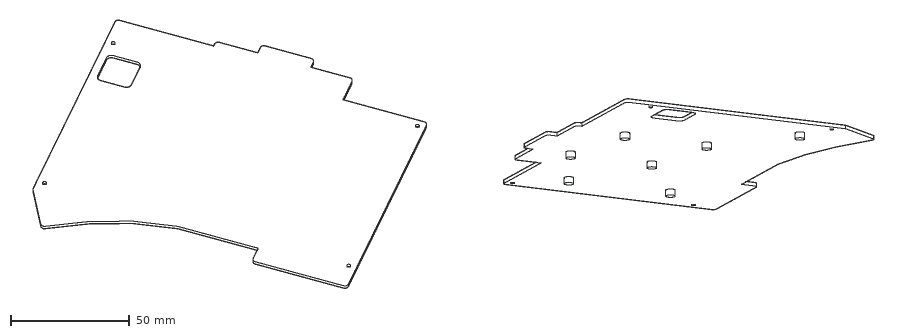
import cadquery as cq
import math

WIDTH = 143.7
DEPTH = 128.3
PLATE_THICKNESS = 1.6
CORNER_RADIUS = 1.6

LEFT_TOP = 120.8
SHOULDER_LEFT = 43.8
SHOULDER_RIGHT = 105.6
SHOULDER_TOP = 123.5
TAB_LEFT = 62.6
TAB_RIGHT = 86.5
RIGHT_TOP = 110.9

LOBE_LEFT = 100.8
LOBE_BOTTOM = 11.8
FRONT_Y = 19.4
FAN_BENDS = ((64.8, FRONT_Y), (46.0, 15.7), (29.0, 9.3))
FAN_END_ANGLE = math.radians(28.4)
LEFT_FLANK_ANGLE = math.radians(60.4)

SCREW_DIAMETER = 1.6
SCREW_INSET = 3.5
SCREW_Y = (23.3, 107.7)

WINDOW_SIZE = 15.1
WINDOW_CENTER = (11.2, 93.5)
WINDOW_RADIUS = 2.2

POST_DIAMETER = 4.0
POST_HEIGHT = 2.6
POST_CENTERS = (
    (14.5, 32.9),
    (46.3, 61.5),
    (46.3, 99.5),
    (84.0, 69.2),
    (84.0, 107.2),
    (122.3, 42.5),
    (122.3, 90.0),
)


def tip_point():
    """Sharp corner of the thumb fan, placed so that its rounding just touches Y = 0."""
    half_corner = (math.pi - FAN_END_ANGLE - LEFT_FLANK_ANGLE) / 2
    bisector = FAN_END_ANGLE + half_corner
    y = CORNER_RADIUS * (1 - math.sin(bisector) / math.sin(half_corner))
    bend_x, bend_y = FAN_BENDS[-1]
    x = bend_x - (bend_y - y) / math.tan(FAN_END_ANGLE)
    return x, y


def make_plate():
    tip = tip_point()
    flank_top = (0, tip[1] + tip[0] * math.tan(LEFT_FLANK_ANGLE))

    left_corner = (0, LEFT_TOP)
    shoulder_corners = [(SHOULDER_LEFT, SHOULDER_TOP), (SHOULDER_RIGHT, SHOULDER_TOP)]
    tab_corners = [(TAB_LEFT, DEPTH), (TAB_RIGHT, DEPTH)]
    right_corners = [(WIDTH, RIGHT_TOP), (WIDTH, LOBE_BOTTOM)]
    lobe_corner = (LOBE_LEFT, LOBE_BOTTOM)

    outline = [
        left_corner,
        (SHOULDER_LEFT, LEFT_TOP),
        shoulder_corners[0],
        (TAB_LEFT, SHOULDER_TOP),
        *tab_corners,
        (TAB_RIGHT, SHOULDER_TOP),
        shoulder_corners[1],
        (SHOULDER_RIGHT, RIGHT_TOP),
        *right_corners,
        lobe_corner,
        (LOBE_LEFT, FRONT_Y),
        *FAN_BENDS,
        tip,
        flank_top,
    ]
    plate = cq.Workplane("XY").polyline(outline).close().extrude(PLATE_THICKNESS)

    rounded = [left_corner, *shoulder_corners, *tab_corners, *right_corners, lobe_corner, tip]
    mid_height = PLATE_THICKNESS / 2
    for x, y in rounded:
        corner_edge = cq.selectors.NearestToPointSelector((x, y, mid_height))
        plate = plate.edges("|Z").edges(corner_edge).fillet(CORNER_RADIUS)
    return plate


def make_screw_holes():
    centers = [(x, y) for x in (SCREW_INSET, WIDTH - SCREW_INSET) for y in SCREW_Y]
    return cq.Workplane("XY").pushPoints(centers).circle(SCREW_DIAMETER / 2).extrude(PLATE_THICKNESS)


def make_window():
    window = cq.Workplane("XY").center(*WINDOW_CENTER).rect(WINDOW_SIZE, WINDOW_SIZE)
    return window.extrude(PLATE_THICKNESS).edges("|Z").fillet(WINDOW_RADIUS)


def make_posts():
    return cq.Workplane("XY").pushPoints(POST_CENTERS).circle(POST_DIAMETER / 2).extrude(-POST_HEIGHT)


result = make_plate().cut(make_screw_holes()).cut(make_window()).union(make_posts())